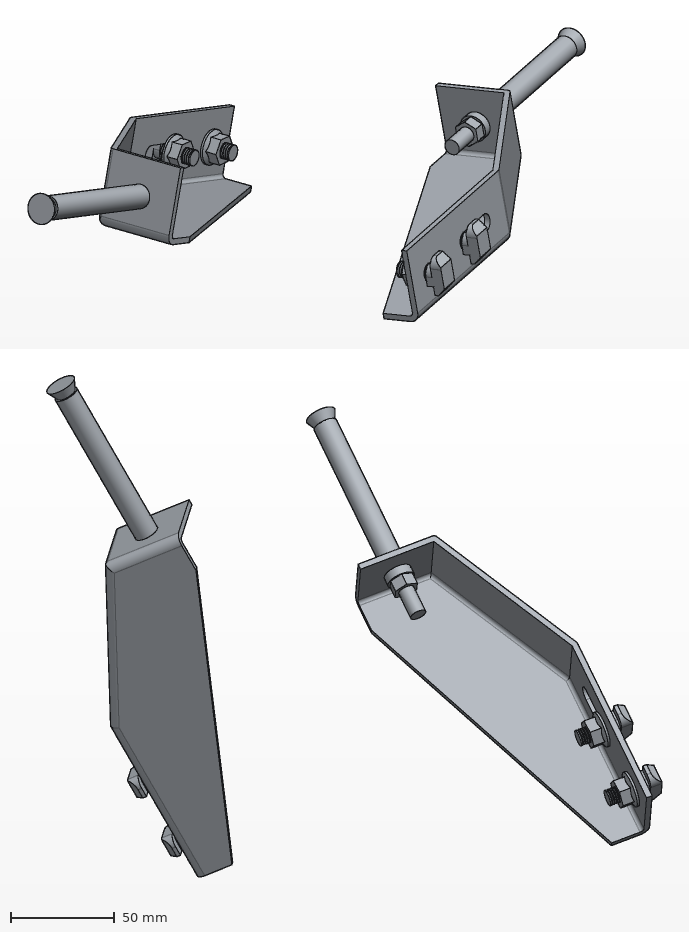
import cadquery as cq
import math

ROLL_ANGLE = 0.4
TURN_ANGLE = 12.7
TIP_ANGLE = -12.7

SHEET = 3.0
HEIGHT = 38.6
SLOTTED_FLANGE_LENGTH = 89.5
LENGTH = 169.2
WIDTH = 80.5
ANCHOR_FLANGE_LENGTH = 40.5
FLOOR_NARROW_WIDTH = 20.0
FLOOR_SIDE_LENGTH = 19.5
FOLD_OUTER_RADIUS = 5.0
FOLD_INNER_RADIUS = FOLD_OUTER_RADIUS - SHEET
CORNER_RADIUS = 2.0
MID_HEIGHT = 19.5

BOLT_HOLE_DIAMETER = 9.0
END_TO_BOLT = 15.6
BOLT_SPACING = 35.0
FAR_BOLT_Y = LENGTH - END_TO_BOLT
BOLT_POSITIONS = (FAR_BOLT_Y, FAR_BOLT_Y - BOLT_SPACING)
SLOT_TRAVEL = 19.5

THREAD_DIAMETER = 8.0
THREAD_PITCH = 1.25
THREAD_DEPTH = 0.6
THREAD_CREST = THREAD_PITCH / 8
THREAD_START_X = -1.0
THREAD_END_X = 16.0
NECK_SIZE = 10.0
NECK_LENGTH = 3.5
HEAD_LENGTH = 19.3
HEAD_FACE_LENGTH = 11.5
HEAD_DEPTH = 6.0
HEAD_RIM = 2.0
ROUNDED_CORNER = NECK_SIZE / 2

NUT_ACROSS_FLATS = 13.0
NUT_HEIGHT = 8.0
NUT_TURN = 11.0
NUT_FLANGE_DIAMETER = 17.9
NUT_RIM = 1.2
NUT_CONE_HEIGHT = 1.5

ANCHOR_X = WIDTH - ANCHOR_FLANGE_LENGTH / 2
SLEEVE_DIAMETER = 12.0
SLEEVE_FRONT_Y = -83.0
COLLAR_BACK_Y = 7.5
CONE_TIP_Y = -88.6
CONE_ROOT_DIAMETER = 10.0
CONE_TIP_DIAMETER = 15.2
STUD_DIAMETER = 8.0
STUD_END_Y = 27.8
COLLAR_DIAMETER = 14.0
ANCHOR_NUT_ACROSS_FLATS = 11.5
ANCHOR_NUT_HEIGHT = 6.0

SLOTTED_END = (0, LENGTH)
SLOTTED_CORNER = (0, LENGTH - SLOTTED_FLANGE_LENGTH)
ANCHOR_CORNER = (WIDTH - ANCHOR_FLANGE_LENGTH, 0)
ANCHOR_END = (WIDTH, 0)
FOLD_LINE = [SLOTTED_END, SLOTTED_CORNER, ANCHOR_CORNER, ANCHOR_END]


def half_space(start, end, inset, floor_z, radius):
    """Large block on the inner side of one fold, its lower edge along the fold rounded."""
    reach = 2 * LENGTH
    direction = cq.Vector(end[0] - start[0], end[1] - start[1], 0).normalized()
    inward = cq.Vector(0, 0, 1).cross(direction)
    origin = cq.Vector(start[0], start[1], floor_z) + inward * inset - direction * reach
    plane = cq.Plane(origin=origin.toTuple(), xDir=inward.toTuple(), normal=direction.toTuple())
    return (
        cq.Workplane(plane)
        .moveTo(radius, 0)
        .lineTo(reach, 0)
        .lineTo(reach, reach)
        .lineTo(0, reach)
        .lineTo(0, radius)
        .radiusArc((radius, 0), -radius)
        .close()
        .extrude(2 * reach)
    )


def folded_volume(blank, inset, floor_z, radius):
    """Trim a blank to the three folds, each with a rounded lower edge."""
    for start, end in zip(FOLD_LINE, FOLD_LINE[1:]):
        blank = blank.intersect(half_space(start, end, inset, floor_z, radius))
    return blank


def make_bracket():
    """Folded sheet with a bolt hole and a slot in one flange and the anchor hole in the other."""
    outline = FOLD_LINE + [(WIDTH, FLOOR_SIDE_LENGTH), (FLOOR_NARROW_WIDTH, LENGTH)]
    blank = cq.Workplane("XY").polyline(outline).close().extrude(HEIGHT)
    for corner in (SLOTTED_CORNER, ANCHOR_CORNER):
        upright_edge = cq.selectors.NearestToPointSelector((*corner, HEIGHT / 2))
        blank = blank.edges(upright_edge).fillet(CORNER_RADIUS)
    bracket = folded_volume(blank, 0, 0, FOLD_OUTER_RADIUS)

    hollow_blank = cq.Workplane("XY").rect(4 * LENGTH, 4 * LENGTH).extrude(2 * HEIGHT)
    bracket = bracket.cut(folded_volume(hollow_blank, SHEET, SHEET, FOLD_INNER_RADIUS))

    far_y, near_y = BOLT_POSITIONS
    bolt_hole = (
        cq.Workplane("YZ").center(far_y, MID_HEIGHT).circle(BOLT_HOLE_DIAMETER / 2).extrude(SHEET)
    )
    slot = (
        cq.Workplane("YZ")
        .center(near_y - SLOT_TRAVEL / 2, MID_HEIGHT)
        .slot2D(SLOT_TRAVEL + BOLT_HOLE_DIAMETER, BOLT_HOLE_DIAMETER)
        .extrude(SHEET)
    )
    anchor_hole = anchor_cylinder(SLEEVE_DIAMETER, 0, SHEET)
    return bracket.cut(bolt_hole).cut(slot).cut(anchor_hole)


def handed_block(x_start, depth, length):
    """Block across the flange with two opposite corners rounded so that it can turn in a channel."""
    half_width = NECK_SIZE / 2
    half_length = length / 2
    return (
        cq.Workplane("YZ", origin=(x_start, 0, 0))
        .moveTo(-half_width, half_length)
        .lineTo(half_width - ROUNDED_CORNER, half_length)
        .radiusArc((half_width, half_length - ROUNDED_CORNER), ROUNDED_CORNER)
        .lineTo(half_width, -half_length)
        .lineTo(ROUNDED_CORNER - half_width, -half_length)
        .radiusArc((-half_width, ROUNDED_CORNER - half_length), ROUNDED_CORNER)
        .close()
        .extrude(depth)
    )


def make_threaded_shank():
    """Shank along X with a V groove at every pitch."""
    crest = THREAD_DIAMETER / 2
    root = crest - THREAD_DEPTH
    flank = (THREAD_PITCH - THREAD_CREST) / 2
    profile = cq.Workplane("XY").moveTo(THREAD_START_X, 0).lineTo(THREAD_START_X, crest)
    for turn in range(int((THREAD_END_X - THREAD_START_X) / THREAD_PITCH)):
        x = THREAD_START_X + turn * THREAD_PITCH
        profile = (
            profile.lineTo(x + THREAD_CREST, crest)
            .lineTo(x + THREAD_CREST + flank, root)
            .lineTo(x + THREAD_PITCH, crest)
        )
    profile = profile.lineTo(THREAD_END_X, crest).lineTo(THREAD_END_X, 0).close()
    return profile.revolve(360, (0, 0, 0), (1, 0, 0))


def make_bolt():
    """T-bolt along X whose threaded shank enters the flange at X = 0."""
    head_inner_x = THREAD_START_X - NECK_LENGTH
    head_outer_x = head_inner_x - HEAD_DEPTH
    half_face = HEAD_FACE_LENGTH / 2
    half_length = HEAD_LENGTH / 2
    head_side = (
        cq.Workplane("XZ")
        .polyline(
            [
                (head_outer_x, half_face),
                (head_inner_x - HEAD_RIM, half_length),
                (head_inner_x, half_length),
                (head_inner_x, -half_length),
                (head_inner_x - HEAD_RIM, -half_length),
                (head_outer_x, -half_face),
            ]
        )
        .close()
        .extrude(NECK_SIZE / 2, both=True)
    )
    head = handed_block(head_outer_x, HEAD_DEPTH, HEAD_LENGTH).intersect(head_side)
    neck = handed_block(head_inner_x, NECK_LENGTH, NECK_SIZE)
    return head.union(neck).union(make_threaded_shank())


def make_nut():
    """Flange nut along X seated on the inner face of the slotted flange."""
    hexagon = (
        cq.Workplane("YZ")
        .transformed(rotate=(0, 0, NUT_TURN))
        .polygon(6, NUT_ACROSS_FLATS / math.cos(math.pi / 6))
        .extrude(NUT_HEIGHT)
    )
    flange = cq.Workplane("YZ").circle(NUT_FLANGE_DIAMETER / 2).extrude(NUT_RIM)
    cone = (
        flange.faces(">X")
        .workplane()
        .circle(NUT_FLANGE_DIAMETER / 2)
        .workplane(offset=NUT_CONE_HEIGHT)
        .circle(NUT_ACROSS_FLATS / 2)
        .loft(combine=False)
    )
    bore = cq.Workplane("YZ").circle(THREAD_DIAMETER / 2).extrude(NUT_HEIGHT)
    nut = hexagon.union(flange).union(cone).cut(bore)
    return nut.translate((SHEET, 0, 0))


def anchor_cylinder(diameter, y_start, y_end):
    """Round bar on the anchor's axis."""
    return (
        cq.Workplane("XZ", origin=(ANCHOR_X, y_end, MID_HEIGHT))
        .circle(diameter / 2)
        .extrude(y_end - y_start)
    )


def make_anchor():
    """Sleeve anchor along Y: spreading cone, sleeve through the flange, collar, nut and stud."""
    sleeve = anchor_cylinder(SLEEVE_DIAMETER, SLEEVE_FRONT_Y, SHEET)
    collar = anchor_cylinder(COLLAR_DIAMETER, SHEET, COLLAR_BACK_Y)
    stud = anchor_cylinder(STUD_DIAMETER, COLLAR_BACK_Y, STUD_END_Y)
    cone = (
        cq.Workplane("XZ", origin=(ANCHOR_X, SLEEVE_FRONT_Y, MID_HEIGHT))
        .circle(CONE_ROOT_DIAMETER / 2)
        .workplane(offset=SLEEVE_FRONT_Y - CONE_TIP_Y)
        .circle(CONE_TIP_DIAMETER / 2)
        .loft()
    )
    nut = (
        cq.Workplane("XZ", origin=(ANCHOR_X, COLLAR_BACK_Y + ANCHOR_NUT_HEIGHT, MID_HEIGHT))
        .transformed(rotate=(0, 0, 90))
        .polygon(6, ANCHOR_NUT_ACROSS_FLATS / math.cos(math.pi / 6))
        .extrude(ANCHOR_NUT_HEIGHT)
    )
    return sleeve.union(collar).union(stud).union(cone).union(nut)


def place(body):
    """Swing a body into the attitude of the assembly."""
    rolled = body.rotate((0, 0, 0), (0, 1, 0), ROLL_ANGLE)
    turned = rolled.rotate((0, 0, 0), (0, 0, 1), TURN_ANGLE)
    return turned.rotate((0, 0, 0), (1, 0, 0), TIP_ANGLE)


bracket = place(make_bracket())
anchor = place(make_anchor())
bolts = []
nuts = []
for bolt_y in BOLT_POSITIONS:
    seat = (0, bolt_y, MID_HEIGHT)
    bolts.append(place(make_bolt().translate(seat)))
    nuts.append(place(make_nut().translate(seat)))

result = cq.Compound.makeCompound(
    [bracket.val(), anchor.val()]
    + [bolt.val() for bolt in bolts]
    + [nut.val() for nut in nuts]
)